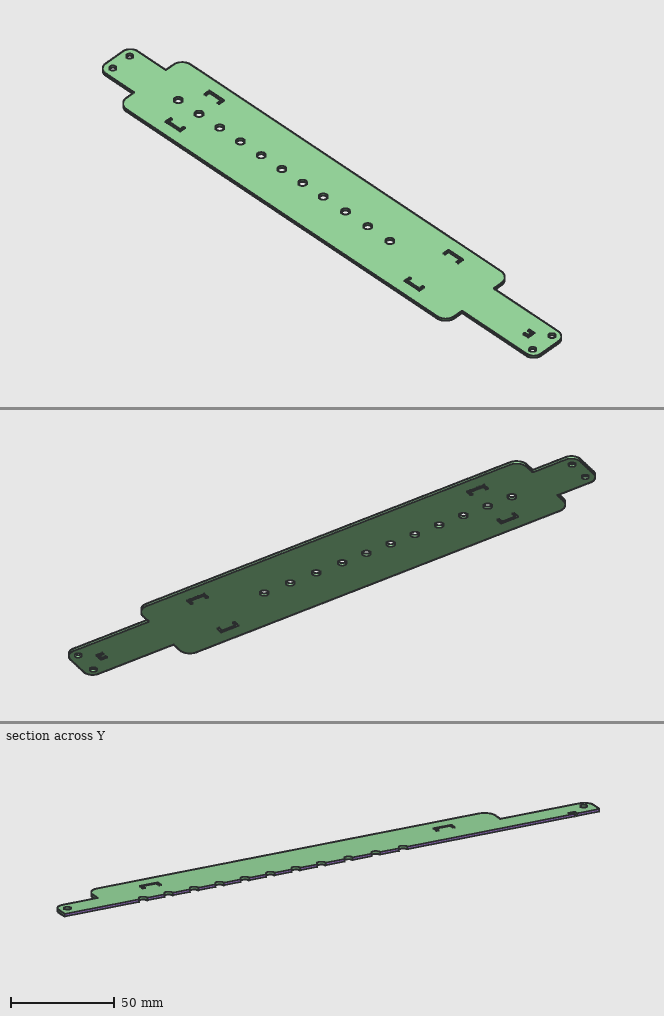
import cadquery as cq

length = 294.3
body_width = 44.5
thickness = 1.6
tab_width = 22.0
body_start = 24.0
body_end = 245.7
body_corner_radius = 6.0
left_tab_radius = 5.0
right_tab_radius = 5.0

fixing_diameter = 3.5
left_fixing_inset = 4.7
left_fixing_spacing = 11.8
right_fixing_inset = 5.0
right_fixing_spacing = 13.5

row_diameter = 4.5
row_start = 43.3
close_end = 141.2
close_count = 8
close_pitch = (close_end - row_start) / (close_count - 1)
wide_pitch = 15.0
wide_count = 3

slot_width = 1.2
strap_slot_span = 10.0
strap_slot_depth = 3.5
strap_slot_centers = (54.5, 216.0)
strap_slot_outer_y = 15.3
end_slot_span = 4.5
end_slot_depth = 3.5
end_slot_outer_x = 282.0


def rounded_plate(start, end, width, radius, corners):
    """Plate from start to end in X, with the selected vertical edges rounded."""
    plate = cq.Workplane("XY").box(end - start, width, thickness, centered=(False, True, False))
    return plate.edges(corners).fillet(radius).translate((start, 0, 0))


def hole_cutter(points, diameter):
    return cq.Workplane("XY").pushPoints(points).circle(diameter / 2).extrude(thickness)


def u_slot_cutter(span, depth, x, y, angle):
    """U slot with the middle of its outer edge at (x, y); at angle zero its legs point to -Y."""
    inner_half_span = span / 2 - slot_width
    slot = (
        cq.Workplane("XY")
        .moveTo(-span / 2, 0)
        .lineTo(span / 2, 0)
        .lineTo(span / 2, -depth)
        .lineTo(inner_half_span, -depth)
        .lineTo(inner_half_span, -slot_width)
        .lineTo(-inner_half_span, -slot_width)
        .lineTo(-inner_half_span, -depth)
        .lineTo(-span / 2, -depth)
        .close()
        .extrude(thickness)
    )
    return slot.rotate((0, 0, 0), (0, 0, 1), angle).translate((x, y, 0))


body_middle = (body_start + body_end) / 2
result = (
    rounded_plate(body_start, body_end, body_width, body_corner_radius, "|Z")
    .union(rounded_plate(0, body_middle, tab_width, left_tab_radius, "|Z and <X"))
    .union(rounded_plate(body_middle, length, tab_width, right_tab_radius, "|Z and >X"))
)

fixing_points = []
for side in (-1, 1):
    fixing_points.append((left_fixing_inset, side * left_fixing_spacing / 2))
    fixing_points.append((length - right_fixing_inset, side * right_fixing_spacing / 2))
result = result.cut(hole_cutter(fixing_points, fixing_diameter))

row_points = [(row_start + i * close_pitch, 0) for i in range(close_count)]
row_points += [(close_end + i * wide_pitch, 0) for i in range(1, wide_count + 1)]
result = result.cut(hole_cutter(row_points, row_diameter))

for center_x in strap_slot_centers:
    for side, angle in ((1, 0), (-1, 180)):
        cutter = u_slot_cutter(
            strap_slot_span, strap_slot_depth, center_x, side * strap_slot_outer_y, angle
        )
        result = result.cut(cutter)
result = result.cut(u_slot_cutter(end_slot_span, end_slot_depth, end_slot_outer_x, 0, -90))

result = result.translate((-length / 2, 0, 0))